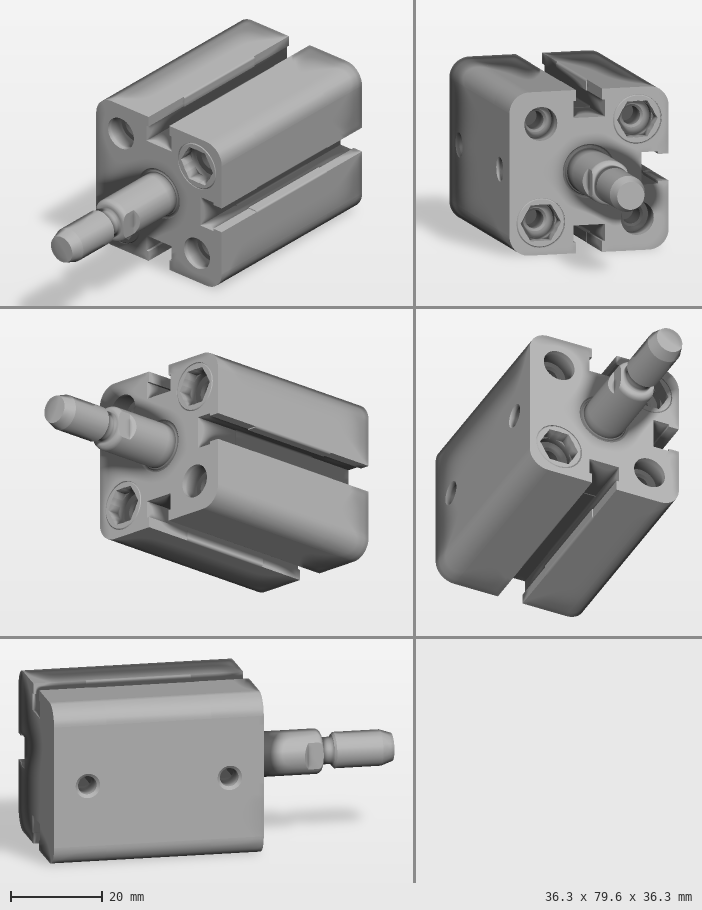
import cadquery as cq
import math


BODY_WIDTH = 36.3
HALF_WIDTH = BODY_WIDTH / 2
CORNER_RADIUS = 4.5
BODY_LENGTH = 47.0
CAP_LENGTH = 11.75
BARREL_LENGTH = BODY_LENGTH - 2 * CAP_LENGTH
BARREL_START = CAP_LENGTH
REAR_CAP_START = CAP_LENGTH + BARREL_LENGTH

SLOT_ANGLES = (0, 90, 180)
SLOT_WIDTH = 7.2
LIP_DEPTH = 2.4
CAP_MOUTH_WIDTH = 6.0
CAP_SLOT_DEPTH = 6.2
BARREL_MOUTH_WIDTH = 5.5
BARREL_SLOT_DEPTH = 6.0
MOUTH_EDGE_RADIUS = 0.5
SLOT_CORNER_RADIUS = 0.35
PICK_SIZE = 0.1

HOLE_OFFSET = 11.0
SCREW_HEAD_CORNERS = ((1, 1), (-1, -1))
PLAIN_CORNERS = ((-1, 1), (1, -1))
THREAD_BORE = 4.13
THREAD_MOUTH = 5.2
MOUNTING_THREAD_DEPTH = 10.5
PLAIN_HOLE_DIAMETER = 7.5
PLAIN_HOLE_DEPTH = 4.5
HEAD_SEAT_DIAMETER = 11.1
HEAD_DIAMETER = 10.9
HEAD_FACE_DIAMETER = 10.48
HEAD_GROOVE_DEPTH = 0.25
HEX_ACROSS_FLATS = 8.0
HEX_DEPTH = 3.0
SOCKET_BORE = 8.15
SOCKET_DEPTH = 4.5

PORT_DISTANCE = 7.6
PORT_BORE = 4.13
PORT_MOUTH = 5.5
PORT_DEPTH = 6.0
PORT_WINDOW_HEIGHT = 3.1
REAR_WINDOW_REACH = 1.6

WIPER_OUTER_MOUTH = 12.0
WIPER_OUTER_FLOOR = 11.4
WIPER_INNER_FLOOR = 10.9
WIPER_LIP = 10.48
WIPER_DEPTH = 0.3

ROD_DIAMETER = 10.0
ROD_RADIUS = ROD_DIAMETER / 2
ROD_REAR_END = BODY_LENGTH - PORT_DISTANCE + REAR_WINDOW_REACH
SHOULDER = 16.6
SHOULDER_RADIUS = 1.3
FLATS_WIDTH = 8.0
FLATS_START = 13.1
NECK_DIAMETER = 6.0
NECK_RADIUS = NECK_DIAMETER / 2
NECK_LENGTH = 2.5
NECK_FILLET = 0.5
STUD_DIAMETER = 8.0
STUD_RADIUS = STUD_DIAMETER / 2
STUD_CHAMFER = 0.5
ROD_TIP = 32.6
TIP_DIAMETER = 6.2
TIP_LENGTH = 2.65


def chamfered_hole(mouth_diameter, bore_diameter, depth):
    """Cutter for a blind hole with a 45 degree mouth, opening at Z = 0 and running to -Z."""
    mouth_radius = mouth_diameter / 2
    bore_radius = bore_diameter / 2
    return (
        cq.Workplane("XZ")
        .moveTo(0, 0)
        .lineTo(mouth_radius, 0)
        .lineTo(bore_radius, bore_radius - mouth_radius)
        .lineTo(bore_radius, -depth)
        .lineTo(0, -depth)
        .close()
        .revolve(360, (0, 0, 0), (0, 1, 0))
    )


def ring_groove(outer_mouth, outer_floor, inner_floor, inner_mouth, depth):
    """Cutter for a ring groove that opens at Z = 0; the four sizes are diameters."""
    return (
        cq.Workplane("XZ")
        .moveTo(outer_mouth / 2, 0)
        .lineTo(outer_floor / 2, -depth)
        .lineTo(inner_floor / 2, -depth)
        .lineTo(inner_mouth / 2, 0)
        .close()
        .revolve(360, (0, 0, 0), (0, 1, 0))
    )


def sunk_into_front(cutter, x, z):
    """Turn a cutter that runs to -Z so that it runs to +Y from the front face."""
    return cutter.rotate((0, 0, 0), (1, 0, 0), 90).translate((x, 0, z))


def block(start, length):
    """Square block with rounded long edges."""
    return (
        cq.Workplane("XZ", origin=(0, start, 0))
        .rect(BODY_WIDTH, BODY_WIDTH)
        .extrude(-length)
        .edges("|Y")
        .fillet(CORNER_RADIUS)
    )


def slot_cutter(start, length, mouth_width, depth):
    """T-slot in the top side."""
    half_mouth = mouth_width / 2
    half_slot = SLOT_WIDTH / 2
    lip = HALF_WIDTH - LIP_DEPTH
    floor = HALF_WIDTH - depth
    right_side = [(half_mouth, HALF_WIDTH), (half_mouth, lip), (half_slot, lip), (half_slot, floor)]
    left_side = [(-x, z) for x, z in reversed(right_side)]
    return cq.Workplane("XZ", origin=(0, start, 0)).polyline(right_side + left_side).close().extrude(-length)


def cut_slots(body, cutter):
    """Cut the T-slot into each slotted side."""
    for angle in SLOT_ANGLES:
        body = body.cut(cutter.rotate((0, 0, 0), (0, 1, 0), angle))
    return body


def make_cap(start):
    """Cap without ports or front holes."""
    slot = slot_cutter(start, CAP_LENGTH, CAP_MOUTH_WIDTH, CAP_SLOT_DEPTH)
    return cut_slots(block(start, CAP_LENGTH), slot)


def cut_port(cap, y, rear_reach):
    """Threaded air port in the -X side, with a lower window from its floor to the rod."""
    port = chamfered_hole(PORT_MOUTH, PORT_BORE, PORT_DEPTH)
    port = port.rotate((0, 0, 0), (0, 1, 0), -90).translate((-HALF_WIDTH, y, 0))
    window_length = PORT_BORE / 2 + rear_reach
    window = (
        cq.Workplane("XY", origin=(PORT_DEPTH - HALF_WIDTH, y - PORT_BORE / 2, 0))
        .box(HALF_WIDTH - PORT_DEPTH, window_length, PORT_WINDOW_HEIGHT, centered=(False, False, True))
    )
    return cap.cut(port).cut(window)


def cut_rod_bore(body):
    """Bore that the rod fills, from the front face to the rear end of the rod."""
    return body.cut(cq.Workplane("XZ").circle(ROD_RADIUS).extrude(-ROD_REAR_END))


def screw_head_cutter():
    """Ring groove around the screw head, hex socket with a round bottom, and mounting thread."""
    groove = ring_groove(
        HEAD_SEAT_DIAMETER, HEAD_SEAT_DIAMETER, HEAD_DIAMETER, HEAD_FACE_DIAMETER, HEAD_GROOVE_DEPTH
    )
    hex_diameter = HEX_ACROSS_FLATS / math.cos(math.pi / 6)
    socket = cq.Workplane("XY").polygon(6, hex_diameter).extrude(-HEX_DEPTH)
    bore = cq.Workplane("XY").circle(SOCKET_BORE / 2).extrude(-SOCKET_DEPTH)
    thread = chamfered_hole(THREAD_MOUTH, THREAD_BORE, MOUNTING_THREAD_DEPTH - SOCKET_DEPTH)
    return groove.add(socket.union(bore).union(thread.translate((0, 0, -SOCKET_DEPTH)))).combine()


def plain_corner_cutter():
    """Clearance hole with a mounting thread at its bottom."""
    hole = cq.Workplane("XY").circle(PLAIN_HOLE_DIAMETER / 2).extrude(-PLAIN_HOLE_DEPTH)
    thread = chamfered_hole(THREAD_MOUTH, THREAD_BORE, MOUNTING_THREAD_DEPTH - PLAIN_HOLE_DEPTH)
    return hole.union(thread.translate((0, 0, -PLAIN_HOLE_DEPTH)))


def wiper_cutter():
    """Ring groove around the wiper lip."""
    return ring_groove(WIPER_OUTER_MOUTH, WIPER_OUTER_FLOOR, WIPER_INNER_FLOOR, WIPER_LIP, WIPER_DEPTH)


def make_front_cap():
    """Front cap with port, screw heads, plain corner holes, wiper groove and rod bore."""
    cap = cut_port(make_cap(0), PORT_DISTANCE, PORT_BORE / 2)
    for corners, cutter in (
        (SCREW_HEAD_CORNERS, screw_head_cutter()),
        (PLAIN_CORNERS, plain_corner_cutter()),
        (((0, 0),), wiper_cutter()),
    ):
        for x_sign, z_sign in corners:
            cap = cap.cut(sunk_into_front(cutter, x_sign * HOLE_OFFSET, z_sign * HOLE_OFFSET))
    return cut_rod_bore(cap)


def make_rear_cap():
    """Rear cap with its port and the blind end of the rod bore."""
    cap = cut_port(make_cap(REAR_CAP_START), BODY_LENGTH - PORT_DISTANCE, REAR_WINDOW_REACH)
    return cut_rod_bore(cap)


def lengthwise_edge_at(point):
    """Small box that selects the lengthwise barrel edge through the given X and Z."""
    x, z = point
    middle = BARREL_START + BARREL_LENGTH / 2
    return cq.selectors.BoxSelector(
        (x - PICK_SIZE, middle - PICK_SIZE, z - PICK_SIZE), (x + PICK_SIZE, middle + PICK_SIZE, z + PICK_SIZE)
    )


def make_barrel():
    """Profile barrel whose slots have rounded mouths and inner corners."""
    slot = slot_cutter(BARREL_START, BARREL_LENGTH, BARREL_MOUTH_WIDTH, BARREL_SLOT_DEPTH)
    for side in (-1, 1):
        for depth in (LIP_DEPTH, BARREL_SLOT_DEPTH):
            corner = (side * SLOT_WIDTH / 2, HALF_WIDTH - depth)
            slot = slot.edges(lengthwise_edge_at(corner)).fillet(SLOT_CORNER_RADIUS)
    barrel = cut_slots(block(BARREL_START, BARREL_LENGTH), slot)
    for side in (-1, 1):
        half_mouth = side * BARREL_MOUTH_WIDTH / 2
        for mouth in ((half_mouth, HALF_WIDTH), (half_mouth, -HALF_WIDTH), (HALF_WIDTH, half_mouth)):
            barrel = barrel.edges(lengthwise_edge_at(mouth)).fillet(MOUTH_EDGE_RADIUS)
    return cut_rod_bore(barrel)


def make_rod():
    """Turned rod with a stud, and two wrench flats behind the shoulder."""
    neck_end = SHOULDER + NECK_LENGTH
    rod = (
        cq.Workplane("XY")
        .moveTo(0, ROD_REAR_END)
        .lineTo(ROD_RADIUS, ROD_REAR_END)
        .lineTo(ROD_RADIUS, SHOULDER_RADIUS - SHOULDER)
        .radiusArc((ROD_RADIUS - SHOULDER_RADIUS, -SHOULDER), SHOULDER_RADIUS)
        .lineTo(NECK_RADIUS + NECK_FILLET, -SHOULDER)
        .radiusArc((NECK_RADIUS, -SHOULDER - NECK_FILLET), -NECK_FILLET)
        .lineTo(NECK_RADIUS, NECK_FILLET - neck_end)
        .radiusArc((NECK_RADIUS + NECK_FILLET, -neck_end), -NECK_FILLET)
        .lineTo(STUD_RADIUS, -neck_end - STUD_CHAMFER)
        .lineTo(STUD_RADIUS, TIP_LENGTH - ROD_TIP)
        .lineTo(TIP_DIAMETER / 2, -ROD_TIP)
        .lineTo(0, -ROD_TIP)
        .close()
        .revolve(360, (0, 0, 0), (0, 1, 0))
    )
    flat = FLATS_WIDTH / 2
    runout = ROD_RADIUS - flat
    cutter = (
        cq.Workplane("XY", origin=(0, 0, -ROD_RADIUS))
        .moveTo(ROD_RADIUS, runout - FLATS_START)
        .lineTo(flat, -FLATS_START)
        .lineTo(flat, -SHOULDER)
        .lineTo(ROD_RADIUS, -SHOULDER)
        .close()
        .extrude(ROD_DIAMETER)
    )
    return rod.cut(cutter).cut(cutter.mirror("YZ"))


front_cap = make_front_cap()
barrel = make_barrel()
rear_cap = make_rear_cap()
rod = make_rod()

bodies = [front_cap, barrel, rear_cap, rod]
result = cq.Compound.makeCompound([body.solids().val() for body in bodies])